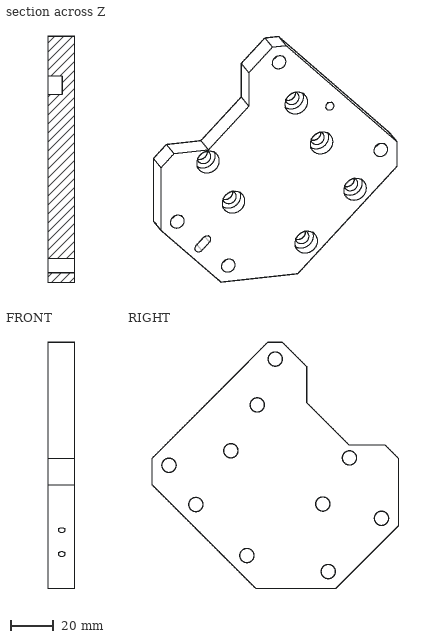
import cadquery as cq

thickness = 12.5
size = 116.0
shoulder = 61.2
upper_flank = 54.5
lower_flank = 48.8
far_corner_cut = 29.5
notch_y = 72.8
notch_z = 67.6
notch_slope_y = 92.7
notch_slope_rise = notch_slope_y - notch_y
top_chamfer = notch_y - shoulder
side_chamfer = notch_z - shoulder

mount_diameter = 6.6
edge_margin = 8.0
pin_offset = 33.1
middle = size / 2
mount_points = [
    (middle, size - edge_margin),
    (edge_margin, middle),
    (size - edge_margin, pin_offset),
    (size - pin_offset, edge_margin),
]
counterbore_diameter = 11.0
counterbore_depth = 6.7
counterbore_points = [
    (49.5, 86.4),
    (92.9, 61.5),
    (37.1, 64.8),
    (80.4, 39.8),
    (20.6, 39.5),
    (44.7, 15.5),
]

locating_diameter = 4.0
locating_depth = 8.1
slot_width = 4.0
slot_length = 9.3
slot_y = 95.5
slot_z = 20.4

flank_hole_diameter = 3.1
flank_hole_x = 6.5
flank_hole_depth = 11.6
flank_hole_heights = [16.2, 27.5]


def plate():
    outline = [
        (lower_flank, 0),
        (size - far_corner_cut, 0),
        (size, far_corner_cut),
        (size, shoulder),
        (size - side_chamfer, notch_z),
        (notch_slope_y, notch_z),
        (notch_y, notch_z + notch_slope_rise),
        (notch_y, size - top_chamfer),
        (shoulder, size),
        (upper_flank, size),
        (0, shoulder),
        (0, lower_flank),
    ]
    return cq.Workplane("YZ").polyline(outline).close().extrude(thickness)


def round_holes(points, diameter, depth):
    """Round cutters sunk from the -X face."""
    return cq.Workplane("YZ").pushPoints(points).circle(diameter / 2).extrude(depth)


def locating_slot():
    """Slot rising towards -Y at 45 degrees."""
    return (
        cq.Workplane("YZ")
        .center(slot_y, slot_z)
        .slot2D(slot_length, slot_width, angle=-45)
        .extrude(locating_depth)
    )


def flank_hole(height):
    start = cq.Vector(flank_hole_x, lower_flank - height, height)
    inward = cq.Vector(0, 1, 1)
    return cq.Solid.makeCylinder(flank_hole_diameter / 2, flank_hole_depth, start, inward)


result = (
    plate()
    .cut(round_holes(mount_points + counterbore_points, mount_diameter, thickness))
    .cut(round_holes(counterbore_points, counterbore_diameter, counterbore_depth))
    .cut(round_holes([(pin_offset, size - pin_offset)], locating_diameter, locating_depth))
    .cut(locating_slot())
)
for hole_height in flank_hole_heights:
    result = result.cut(flank_hole(hole_height))